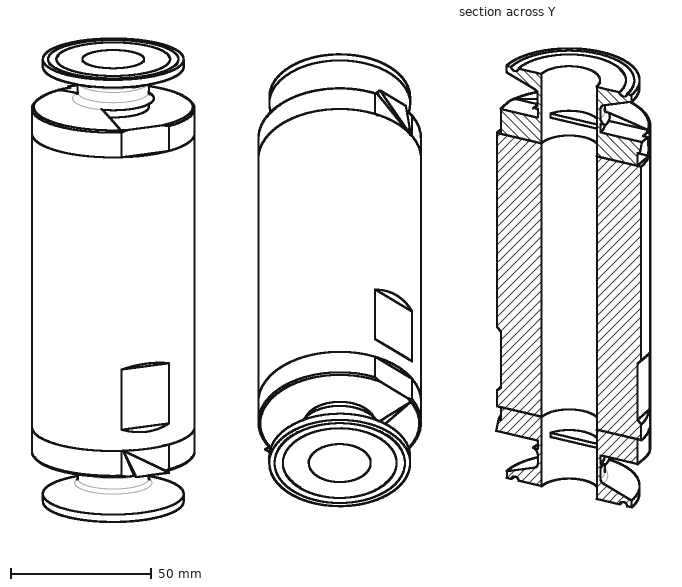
import cadquery as cq
import math

total_length = 165.0
sleeve_diameter = 58.0
sleeve_radius = sleeve_diameter / 2
bore_diameter = 22.1

end_z = total_length / 2
rim_z = 64.7
joint_z = 54.8

flange_diameter = 50.3
flange_edge_thickness = 2.8
flange_back_angle = 20.0
neck_diameter = 25.4
flange_fillet = 1.6
groove_inner_diameter = 40.6
groove_outer_diameter = 46.5
groove_depth = 1.3

shoulder_rise = 3.6
neck_fillet = 2.3
rim_chamfer = 0.7

flat_half_width = 9.2
flat_distance = math.sqrt(sleeve_radius**2 - flat_half_width**2)
recess_center_z = -35.6
recess_length = 22.5

lug_reach = 29.4
lug_y_top_start = -4.3
lug_y_top_end = 8.5
lug_y_tip = -8.5

lip_chord_y = -4.8
lip_thickness = 1.6

selection_margin = 0.2
bore_radius = bore_diameter / 2
neck_radius = neck_diameter / 2
flange_radius = flange_diameter / 2
shoulder_top_z = rim_z + shoulder_rise
flange_back_z = end_z - flange_edge_thickness
flange_neck_z = flange_back_z - (flange_radius - neck_radius) * math.tan(math.radians(flange_back_angle))


def box_between(x_range, y_range, z_range):
    """Box that fills the given ranges along X, Y and Z."""
    (x0, x1), (y0, y1), (z0, z1) = x_range, y_range, z_range
    return cq.Workplane("XY").box(x1 - x0, y1 - y0, z1 - z0, centered=False).translate((x0, y0, z0))


def circle_at(z, radius):
    """Selector for the edge circle of the given radius about the Z axis at level z."""
    reach = radius + selection_margin
    low_corner = (-reach, -reach, z - selection_margin)
    high_corner = (reach, reach, z + selection_margin)
    return cq.selectors.BoxSelector(low_corner, high_corner, boundingbox=True)


def make_sleeve():
    """Tube with a sunken wrench flat, sloped at both ends, on the +X and -X sides."""
    sleeve = (
        cq.Workplane("XY", origin=(0, 0, -joint_z))
        .circle(sleeve_radius)
        .circle(bore_radius)
        .extrude(2 * joint_z)
    )
    recess_depth = sleeve_radius - flat_distance
    for side in (-1, 1):
        recess = (
            cq.Workplane("XZ")
            .moveTo(side * flat_distance, recess_center_z - recess_length / 2)
            .lineTo(side * sleeve_radius, recess_center_z - recess_length / 2 - recess_depth)
            .lineTo(side * sleeve_radius, recess_center_z + recess_length / 2 + recess_depth)
            .lineTo(side * flat_distance, recess_center_z + recess_length / 2)
            .close()
            .extrude(flat_half_width, both=True)
        )
        sleeve = sleeve.cut(recess)
    return sleeve


def make_cap_blank():
    """Solid of revolution: collar, conical shoulder, neck and clamp flange."""
    blank = (
        cq.Workplane("XZ")
        .moveTo(0, joint_z)
        .lineTo(sleeve_radius, joint_z)
        .lineTo(sleeve_radius, rim_z - rim_chamfer)
        .lineTo(sleeve_radius - rim_chamfer, rim_z)
        .lineTo(neck_radius, shoulder_top_z)
        .lineTo(neck_radius, flange_neck_z)
        .lineTo(flange_radius, flange_back_z)
        .lineTo(flange_radius, end_z)
        .lineTo(0, end_z)
        .close()
        .revolve(360, (0, 0, 0), (0, 1, 0))
    )
    blank = blank.edges(circle_at(shoulder_top_z, neck_radius)).fillet(neck_fillet)
    return blank.edges(circle_at(flange_neck_z, neck_radius)).fillet(flange_fillet)


def make_gasket_groove():
    """Ring with an arc-shaped section, cut into the clamp face."""
    inner = groove_inner_diameter / 2
    outer = groove_outer_diameter / 2
    return (
        cq.Workplane("XZ")
        .moveTo(inner, end_z)
        .threePointArc(((inner + outer) / 2, end_z - groove_depth), (outer, end_z))
        .close()
        .revolve(360, (0, 0, 0), (0, 1, 0))
    )


def make_shoulder_relief():
    """Space around the neck that levels the shoulder to the rim, except on the -Y side."""
    slope = math.atan2(shoulder_rise, sleeve_radius - rim_chamfer - neck_radius)
    fillet_reach = neck_fillet * math.tan((math.pi / 2 - slope) / 2)
    relief_top_z = shoulder_top_z - fillet_reach * math.sin(slope)
    ring = (
        cq.Workplane("XY", origin=(0, 0, rim_z))
        .circle(sleeve_radius)
        .circle(neck_radius)
        .extrude(relief_top_z - rim_z)
    )
    span = (-sleeve_radius, sleeve_radius)
    return ring.intersect(box_between(span, (-flat_half_width, sleeve_radius), (rim_z, relief_top_z)))


def make_lug():
    """Wedge on the -X flat, thickest at the rim and running down to a point at the joint."""
    taper = (
        cq.Workplane("XZ")
        .moveTo(-flat_distance, joint_z)
        .lineTo(-flat_distance, rim_z)
        .lineTo(-lug_reach, rim_z)
        .close()
        .extrude(sleeve_radius, both=True)
    )
    outline = (
        cq.Workplane("YZ")
        .moveTo(lug_y_tip, joint_z)
        .lineTo(lug_y_top_start, rim_z)
        .lineTo(lug_y_top_end, rim_z)
        .close()
        .extrude(-lug_reach)
    )
    return taper.intersect(outline)


def make_bore():
    """Bore through the cap, leaving a thin lip on the -Y side just below the rim."""
    bore = cq.Workplane("XY", origin=(0, 0, joint_z)).circle(bore_radius).extrude(end_z - joint_z)
    span = (-bore_radius, bore_radius)
    lip = box_between(span, (-bore_radius, lip_chord_y), (rim_z - lip_thickness, rim_z))
    return bore.cut(lip)


def make_end_cap():
    """Cap at the +Z end, with wrench flats, lug, bore and clamp ferrule."""
    cap = make_cap_blank().cut(make_gasket_groove()).cut(make_shoulder_relief())
    for side in (-1, 1):
        x_range = sorted((side * flat_distance, side * sleeve_radius))
        y_range = (-flat_half_width, flat_half_width)
        cap = cap.cut(box_between(x_range, y_range, (joint_z, shoulder_top_z)))
    return cap.union(make_lug()).cut(make_bore())


sleeve = make_sleeve()

end_caps = []
for turn in (0, 180):
    end_caps.append(make_end_cap().rotate((0, 0, 0), (0, 1, 0), turn))

result = cq.Compound.makeCompound([sleeve.val(), *[cap.val() for cap in end_caps]])